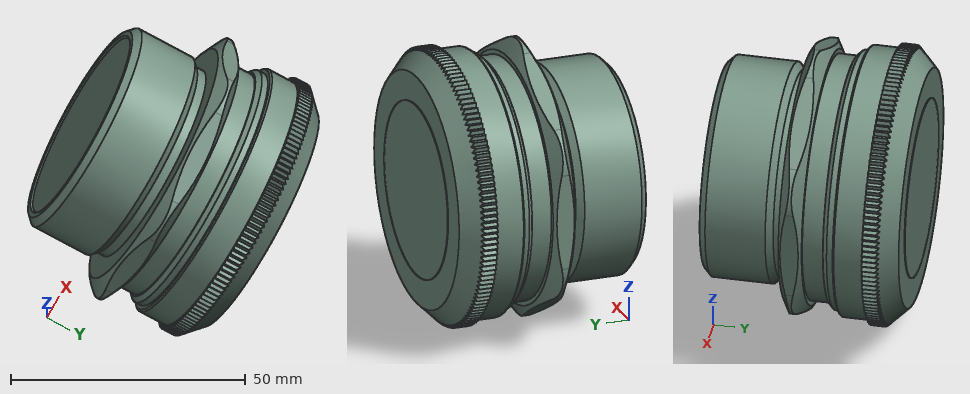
import cadquery as cq
import math


spigot_diameter = 47.8
neck_diameter = 44.8
spigot_taper = (spigot_diameter - neck_diameter) / 2
spigot_length = 16.0

recess_mouth_diameter = 42.65
recess_floor_diameter = 41.9
recess_depth = 0.4

hex_sides = 6
hex_across_flats = 57.0
hex_corner_radius = 10.05
hex_front = 18.05
hex_thickness = 5.0
hex_back = hex_front + hex_thickness
hex_face_diameter = 55.2
hex_chamfer_angle = 30.0

barrel_diameter = 53.1
collar_diameter = 56.0
collar_front = 27.6
collar_chamfer = 1.0

skirt_diameter = 58.5
skirt_front = 30.05
skirt_chamfer = 0.4
knurl_front = 36.55
knurl_tip_diameter = 60.5
knurl_tooth_depth = 0.7
knurl_tooth_count = 144
total_length = 44.0
pad_height = 0.2
pad_diameter = 38.75
cap_end = total_length - pad_height
cap_face_diameter = 51.8


def revolve_profile(profile):
    """Revolve (radius, y) points about the Y axis; the profile closes along the axis."""
    outline = [(0, profile[0][1])] + profile + [(0, profile[-1][1])]
    return cq.Workplane("XY").polyline(outline).close().revolve(360, (0, 0, 0), (0, 1, 0))


def make_body():
    """All the plain round steps, from the spigot end to the cap skirt and pad."""
    spigot_radius = spigot_diameter / 2
    neck_radius = neck_diameter / 2
    barrel_radius = barrel_diameter / 2
    collar_radius = collar_diameter / 2
    skirt_radius = skirt_diameter / 2
    return revolve_profile([
        (neck_radius, 0),
        (spigot_radius, spigot_taper),
        (spigot_radius, spigot_length - spigot_taper),
        (neck_radius, spigot_length),
        (neck_radius, hex_front),
        (barrel_radius, hex_front),
        (barrel_radius, collar_front),
        (collar_radius - collar_chamfer, collar_front),
        (collar_radius, collar_front + collar_chamfer),
        (collar_radius, skirt_front),
        (skirt_radius - skirt_chamfer, skirt_front),
        (skirt_radius, skirt_front + skirt_chamfer),
        (skirt_radius, knurl_front),
        (pad_diameter / 2, knurl_front),
        (pad_diameter / 2, total_length),
    ])


def make_recess():
    """Tapered disc that is cut from the spigot end face."""
    return revolve_profile([
        (recess_mouth_diameter / 2, 0),
        (recess_floor_diameter / 2, recess_depth),
    ])


def make_hex_flange():
    """Round-cornered hexagon, corners up and down, chamfered conically on both faces."""
    across_corners = hex_across_flats / math.cos(math.pi / hex_sides)
    hexagon = (
        cq.Workplane("XZ", origin=(0, hex_front, 0))
        .transformed(rotate=(0, 0, 90))
        .polygon(hex_sides, across_corners)
        .extrude(-hex_thickness)
        .edges("|Y")
        .fillet(hex_corner_radius)
    )
    face_radius = hex_face_diameter / 2
    half_thickness = hex_thickness / 2
    apex_radius = face_radius + half_thickness / math.tan(math.radians(hex_chamfer_angle))
    double_cone = revolve_profile([
        (face_radius, hex_front),
        (apex_radius, hex_front + half_thickness),
        (face_radius, hex_back),
    ])
    return hexagon.intersect(double_cone)


def make_knurled_cap():
    """Straight-toothed band whose back is turned to a 45 degree cone."""
    tip_radius = knurl_tip_diameter / 2
    root_radius = tip_radius - knurl_tooth_depth
    half_pitch = math.pi / knurl_tooth_count
    teeth = []
    for step in range(2 * knurl_tooth_count):
        radius = tip_radius if step % 2 else root_radius
        angle = step * half_pitch
        teeth.append((radius * math.cos(angle), radius * math.sin(angle)))
    toothed_disc = (
        cq.Workplane("XZ", origin=(0, knurl_front, 0))
        .polyline(teeth)
        .close()
        .extrude(-(cap_end - knurl_front))
    )
    face_radius = cap_face_diameter / 2
    base_radius = face_radius + cap_end - knurl_front
    cone = revolve_profile([
        (base_radius, knurl_front),
        (face_radius, cap_end),
    ])
    return toothed_disc.intersect(cone)


result = make_body().cut(make_recess()).union(make_hex_flange()).union(make_knurled_cap())